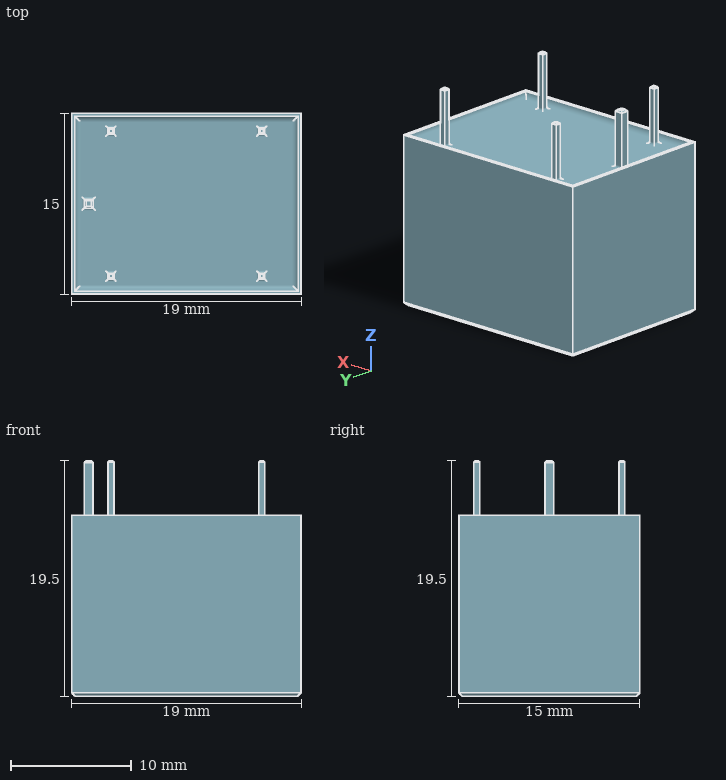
import cadquery as cq

case_length = 19.0
case_width = 15.0
case_height = 15.0
overall_height = 19.51
base_chamfer = 0.3

rim_width = 0.25
recess_depth = 0.5
floor_height = case_height - recess_depth

small_pin_size = 0.5
small_pin_tip = 0.12
small_pin_x = 6.25
small_pin_y = 6.0
large_pin_size = 0.75
large_pin_tip = 0.15
large_pin_x = -8.1
foot_radius = 0.2


def make_case():
    case = cq.Workplane("XY").box(case_length, case_width, case_height, centered=(True, True, False))
    return case.faces("<Z").chamfer(base_chamfer)


def make_recess():
    """Cutter for the recess; it stands clear of the case top so the fillet can span the full depth."""
    cutter_height = 2 * recess_depth
    return (
        cq.Workplane("XY", origin=(0, 0, floor_height))
        .rect(case_length - 2 * rim_width, case_width - 2 * rim_width)
        .extrude(cutter_height)
        .faces("<Z")
        .edges()
        .fillet(recess_depth)
    )


def flared_bar(plane, size):
    """Bar with hollow-curved flanks that widen to the floor, extruded along the plane's normal."""
    half_top = size / 2
    half_base = half_top + foot_radius
    return (
        cq.Workplane(plane, origin=(0, 0, floor_height))
        .moveTo(-half_base, 0)
        .lineTo(half_base, 0)
        .radiusArc((half_top, foot_radius), foot_radius)
        .lineTo(-half_top, foot_radius)
        .radiusArc((-half_base, 0), foot_radius)
        .close()
        .extrude(half_base, both=True)
    )


def make_pin(size, tip_chamfer):
    post = (
        cq.Workplane("XY", origin=(0, 0, floor_height))
        .rect(size, size)
        .extrude(overall_height - floor_height)
        .faces(">Z")
        .chamfer(tip_chamfer)
    )
    foot = flared_bar("XZ", size).intersect(flared_bar("YZ", size))
    return post.union(foot)


result = make_case().cut(make_recess())

small_pin = make_pin(small_pin_size, small_pin_tip)
for x in (-small_pin_x, small_pin_x):
    for y in (-small_pin_y, small_pin_y):
        result = result.union(small_pin.translate((x, y, 0)))

large_pin = make_pin(large_pin_size, large_pin_tip)
result = result.union(large_pin.translate((large_pin_x, 0, 0)))